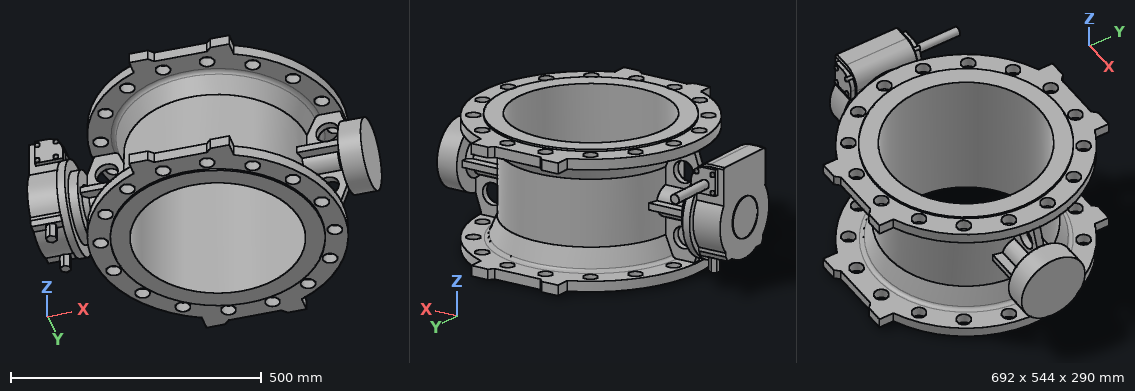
import cadquery as cq
import math


face_to_face = 290.0
half_length = face_to_face / 2
bore_d = 350.0
raised_face_d = 429.0
raised_face_h = 4.0
flange_d = 521.0
flange_t = 23.0
barrel_d = 374.5
barrel_half_h = 72.0
cone_end_d = 407.5
cone_end_z = 111.5
cone_fillet_run = 10.0
flange_outer_z = half_length - raised_face_h
flange_inner_z = flange_outer_z - flange_t

bolt_count = 16
bolt_d = 30.0
bolt_circle_r = 234.5
foot_w = 208.0
foot_half_w = foot_w / 2
foot_y = 272.0
foot_recess_y = 261.5
foot_recess_top_x = 65.0
foot_recess_root_x = 55.0

shaft_y = 3.0
boss_d = 70.0
boss_flare_d = 88.5
boss_flare_len = 12.0
neck_x = 270.5
lug_t = 16.0
lug_top_x = 256.0
lug_shoulder_z = 75.5
lug_hole_d = 47.0
lug_hole_x = 230.0
lug_hole_spacing = 139.0
lug_hole_z = lug_hole_spacing / 2
rib_t = 14.5
rib_half_w = 55.0
drum_d = 150.0
drum_end_x = 318.0

neck_end_x = -290.0
mount_disc_d = 200.0
mount_disc_x = -306.5
housing_x = -371.5
housing_d = 175.0
cap_d = 88.0
cap_x = -374.0
pad_half_w = 66.5
pad_shoulder_z = -65.0
pad_bottom_half_w = 61.0
pad_bottom_z = -76.0
stud_flats = 20.0
stud_spacing = 99.0
stud_end_z = -108.0

worm_x = -332.0
input_shaft_z = 86.5
input_shaft_d = 20.0
input_shaft_end_y = 193.0
box_half_w = 75.0
box_top_z = 126.0
box_corner_chamfer = 3.5
box_arc_x = -335.5
box_arc_r = box_top_z - input_shaft_z
cover_half_w = 84.0
cover_x = -357.0
cover_bottom_z = 66.0
cover_top_z = 122.0
cover_arc_r = 33.0
cover_arc_z = cover_top_z - cover_arc_r
screw_d = 10.5
screw_head_h = 3.5
screw_rounding = 2.0
screw_centre_z = 91.0
screw_pitch = 39.0


def x_cylinder(diameter, x_start, x_end):
    """Cylinder on the shaft axis between two x positions."""
    plane = cq.Workplane("YZ", origin=(x_start, shaft_y, 0))
    return plane.circle(diameter / 2).extrude(x_end - x_start)


def xz_plane(sketch_plane_y):
    """XZ sketch plane at a y position; extrusions run toward -Y."""
    return cq.Workplane("XZ", origin=(0, sketch_plane_y, 0))


def make_barrel():
    """Waisted barrel with flared ends blending into the flanges."""
    barrel_r = barrel_d / 2
    cone_end_r = cone_end_d / 2
    fillet_end_r = cone_end_r + cone_fillet_run
    upper_half = (
        cq.Workplane("XZ")
        .lineTo(barrel_r, 0)
        .lineTo(barrel_r, barrel_half_h)
        .lineTo(cone_end_r, cone_end_z)
        .tangentArcPoint((fillet_end_r, flange_inner_z), relative=False)
        .lineTo(fillet_end_r, flange_outer_z)
        .lineTo(raised_face_d / 2, flange_outer_z)
        .lineTo(raised_face_d / 2, half_length)
        .lineTo(0, half_length)
        .close()
        .revolve(360, (0, 0, 0), (0, 1, 0))
    )
    return upper_half.union(upper_half.mirror("XY"))


def make_flange():
    """Lower flange: round plate with a notched foot at each Y end and a ring of bolt holes."""
    flange = cq.Workplane("XY", origin=(0, 0, -flange_outer_z)).circle(flange_d / 2).extrude(flange_t)
    foot_bar = (
        cq.Workplane("XY", origin=(0, 0, -flange_outer_z))
        .polyline([
            (-foot_half_w, 0),
            (-foot_half_w, foot_y),
            (-foot_recess_top_x, foot_y),
            (-foot_recess_root_x, foot_recess_y),
            (foot_recess_root_x, foot_recess_y),
            (foot_recess_top_x, foot_y),
            (foot_half_w, foot_y),
            (foot_half_w, 0),
        ])
        .close()
        .extrude(flange_t)
    )
    bolt_holes = (
        cq.Workplane("XY", origin=(0, 0, -flange_outer_z))
        .polarArray(bolt_circle_r, 180 / bolt_count, 360, bolt_count)
        .circle(bolt_d / 2)
        .extrude(flange_t)
    )
    return flange.union(foot_bar).union(foot_bar.mirror("XZ")).cut(bolt_holes)


def make_shaft_support():
    """Shaft boss on the +X side with its drilled upright lug and its horizontal rib."""
    boss = x_cylinder(boss_d, 0, neck_x)
    flare = (
        cq.Workplane("XY", origin=(0, shaft_y, 0))
        .polyline([
            (neck_x - boss_flare_len, 0),
            (neck_x - boss_flare_len, boss_d / 2),
            (neck_x, boss_flare_d / 2),
            (neck_x, 0),
        ])
        .close()
        .revolve(360, (0, 0, 0), (1, 0, 0))
    )
    lug = (
        xz_plane(shaft_y + lug_t / 2)
        .polyline([
            (0, flange_inner_z),
            (lug_top_x, flange_inner_z),
            (neck_x, lug_shoulder_z),
            (neck_x, -lug_shoulder_z),
            (lug_top_x, -flange_inner_z),
            (0, -flange_inner_z),
        ])
        .close()
        .extrude(lug_t)
    )
    lug_holes = (
        xz_plane(shaft_y + lug_t / 2)
        .pushPoints([(lug_hole_x, lug_hole_z), (lug_hole_x, -lug_hole_z)])
        .circle(lug_hole_d / 2)
        .extrude(lug_t)
    )
    rib = cq.Workplane("XY").box(neck_x, 2 * rib_half_w, rib_t, centered=(False, True, True))
    return lug.cut(lug_holes).union(boss).union(flare).union(rib.translate((0, shaft_y, 0)))


def make_worm_box():
    """Flat-sided box above the gear housing, rounded on the side facing the valve."""
    arc_mid = box_arc_r * math.sqrt(0.5)
    box = (
        xz_plane(shaft_y + box_half_w)
        .moveTo(housing_x, 0)
        .lineTo(housing_x, box_top_z)
        .lineTo(box_arc_x, box_top_z)
        .threePointArc(
            (box_arc_x + arc_mid, input_shaft_z + arc_mid),
            (box_arc_x + box_arc_r, input_shaft_z),
        )
        .lineTo(box_arc_x + box_arc_r, 0)
        .close()
        .extrude(2 * box_half_w)
    )
    return box.faces(">Z").edges("|X").chamfer(box_corner_chamfer)


def make_side_covers():
    """Bolted cover on both Y sides of the worm box, with four screw heads each."""
    arc_mid = cover_arc_r * math.sqrt(0.5)
    covers = (
        xz_plane(shaft_y + cover_half_w)
        .moveTo(cover_x, cover_bottom_z)
        .lineTo(cover_x, cover_top_z)
        .lineTo(worm_x, cover_top_z)
        .threePointArc(
            (worm_x + arc_mid, cover_arc_z + arc_mid),
            (worm_x + cover_arc_r, cover_arc_z),
        )
        .lineTo(worm_x + cover_arc_r, cover_bottom_z)
        .close()
        .extrude(2 * cover_half_w)
    )
    screw_half_span = cover_half_w + screw_head_h
    screws = (
        xz_plane(shaft_y + screw_half_span)
        .center(worm_x, screw_centre_z)
        .rarray(screw_pitch, screw_pitch, 2, 2)
        .circle(screw_d / 2)
        .extrude(2 * screw_half_span)
        .edges("%CIRCLE")
        .fillet(screw_rounding)
    )
    return covers.union(screws)


def make_stop_pads():
    """Block across the bottom of the gear housing that carries the two stop studs."""
    return (
        cq.Workplane("YZ", origin=(housing_x, shaft_y, 0))
        .polyline([
            (-pad_half_w, 0),
            (-pad_half_w, pad_shoulder_z),
            (-pad_bottom_half_w, pad_bottom_z),
            (pad_bottom_half_w, pad_bottom_z),
            (pad_half_w, pad_shoulder_z),
            (pad_half_w, 0),
        ])
        .close()
        .extrude(mount_disc_x - housing_x)
    )


def make_stop_studs():
    """Pair of hexagonal stop studs under the housing, each with a corner facing +Y."""
    corner_d = stud_flats / math.cos(math.pi / 6)
    stud = cq.Workplane("XY").polygon(6, corner_d).extrude(stud_end_z).rotate((0, 0, 0), (0, 0, 1), 90)
    front_stud = stud.translate((worm_x, shaft_y - stud_spacing / 2, 0))
    rear_stud = stud.translate((worm_x, shaft_y + stud_spacing / 2, 0))
    return front_stud.add(rear_stud).combine()


def make_actuator():
    """Complete gear actuator with its mounting neck and its input shaft toward +Y."""
    actuator = x_cylinder(drum_d, neck_end_x, -neck_x)
    actuator = actuator.union(x_cylinder(mount_disc_d, mount_disc_x, neck_end_x))
    actuator = actuator.union(x_cylinder(housing_d, housing_x, mount_disc_x))
    actuator = actuator.union(x_cylinder(cap_d, cap_x, housing_x))
    actuator = actuator.union(make_worm_box()).union(make_side_covers()).union(make_stop_pads())
    actuator = actuator.union(make_stop_studs())
    input_shaft = (
        xz_plane(input_shaft_end_y)
        .center(worm_x, input_shaft_z)
        .circle(input_shaft_d / 2)
        .extrude(input_shaft_end_y - shaft_y)
    )
    return actuator.union(input_shaft)


flange = make_flange()
support = make_shaft_support()
bore = cq.Workplane("XY", origin=(0, 0, -half_length)).circle(bore_d / 2).extrude(2 * half_length)

result = make_barrel().union(flange).union(flange.mirror("XY"))
result = result.union(support).union(support.mirror("YZ"))
result = result.cut(bore)
result = result.union(x_cylinder(drum_d, neck_x, drum_end_x))
result = result.union(make_actuator())